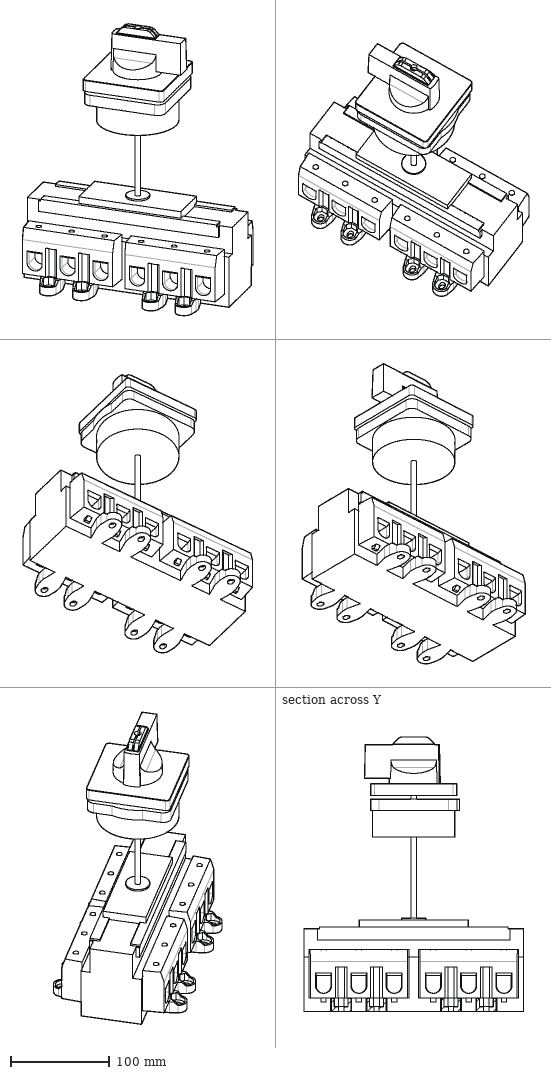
import cadquery as cq
import math

body_length = 224.0
base_half_width = 31.8
shelf_z = 55.4
neck_half_width = 22.5
neck_top_z = 84.5

strip_top_z = 86.4
strip_bottom_z = 72.8
strip_inner_y = 16.0
strip_outer_y = 26.4
strip_skirt_length = 196.4
strip_flange_length = 192.4

plate_length = 111.6
plate_top_z = 93.6
collar_diameter = 24.6
collar_top_z = 95.4
shaft_diameter = 6.0

block_center_x = body_length / 4
block_inner_length = 102.0
block_outer_length = 98.8
block_outer_y = 53.9
block_bottom_z = 13.6
block_top_z = 63.2
block_bevel_y = 50.3
block_bevel_z = 51.2
pole_pitch = 36.0
pole_offsets = (-pole_pitch, 0, pole_pitch)
gap_offsets = (-pole_pitch / 2, pole_pitch / 2)

window_depth = 20.0
window_mouth_depth = 3.8
window_half_width = 8.1
window_inner_half_width = 7.4
window_top_z = 39.4
window_inner_top_z = 36.8
window_bottom_z = 18.6
window_arc_start_z = 25.0

screw_diameter = 5.6
screw_y = 42.1
screw_depth = 10.0
wedge_width = 5.4
wedge_inner_y = 39.4
wedge_outer_y = 45.6
wedge_bottom_z = 10.0

groove_half_width = 6.0
groove_floor_half_width = 3.3
groove_depth = groove_half_width - groove_floor_half_width
groove_top_z = 45.2

foot_tip_y = 70.0
foot_radius = 9.0
foot_arc_y = foot_tip_y - foot_radius
foot_tangent_y = 62.8
foot_half_width = 10.7
foot_side_outer_y = 54.6
foot_side_inner_y = 47.3
foot_root_half_width = 7.0
foot_slope_start_y = 58.4
foot_slope_end_y = 62.6
foot_tip_z = 9.2
foot_pocket_radius = 6.9
foot_pocket_floor_z = 5.0
foot_pocket_back_y = 52.9
foot_pocket_back_half_width = 3.0
foot_slot_length = 7.8
foot_slot_width = screw_diameter
foot_slot_y = 60.0

drum_diameter = 84.22
drum_bottom_z = 178.0
flange_bottom_z = 205.0
flange_top_z = 216.8
flange_size = 87.8
flange_corner_radius = 8.4
flange_lobe_radius = 46.7
flange_lobe_width = 32.0

bezel_size = 87.8
bezel_corner_radius = 3.8
bezel_bottom_z = 220.3
bezel_top_z = 232.6
bezel_edge_chamfer = 0.5
handle_draft = 1.2
knob_radius = 25.2
knob_top_z = 256.6
scoop_inner_y = 8.2
scoop_middle_y = 10.35
scoop_middle_z = 252.2
scoop_break_y = 13.8
scoop_break_z = 248.8
scoop_outer_y = 26.0
scoop_outer_z = 242.4
handle_half_width = 8.75
handle_nose_radius = 27.3
handle_arm_reach = 50.4
handle_top_z = 272.2
arm_underside_z = 237.9
arm_root_x = 23.0

crest_top_z = 280.2
crest_foot_z = 273.1
crest_half_length = 21.4
crest_half_width = 5.4
crest_plinth_margin = 0.8
crest_shoulder_x = 15.6
crest_shoulder_z = 279.0
crest_flat_half_length = 12.2
crest_slit_width = 1.6
crest_hole_diameter = 7.0
crest_hole_depth = 5.0


def box(x0, x1, y0, y1, z0, z1):
    return cq.Workplane("XY").box(x1 - x0, y1 - y0, z1 - z0, centered=False).translate((x0, y0, z0))


def centered_box(length, half_width, z0, z1):
    return box(-length / 2, length / 2, -half_width, half_width, z0, z1)


def cylinder(diameter, z0, z1):
    return cq.Workplane("XY").workplane(offset=z0).circle(diameter / 2).extrude(z1 - z0)


def both_sides(solid):
    return solid.union(solid.mirror("XZ"))


def side_profile(points, length):
    """Prism along X, centred on X = 0, from (y, z) points."""
    return cq.Workplane("YZ").polyline(points).close().extrude(length / 2, both=True)


def make_body():
    body = centered_box(body_length, base_half_width, 0, shelf_z)
    body = body.union(centered_box(body_length, neck_half_width, 0, neck_top_z))
    half_skirt = strip_skirt_length / 2
    half_flange = strip_flange_length / 2
    skirt = box(-half_skirt, half_skirt, -strip_outer_y, -neck_half_width, strip_bottom_z, neck_top_z)
    flange = box(-half_flange, half_flange, -strip_outer_y, -strip_inner_y, neck_top_z, strip_top_z)
    body = body.union(both_sides(skirt.union(flange)))
    body = body.union(centered_box(plate_length, neck_half_width, neck_top_z, plate_top_z))
    return body.union(cylinder(collar_diameter, plate_top_z, collar_top_z))


def window_section(y, half_width, top_z):
    """U-shaped cable opening section on a plane of constant Y."""
    return (
        cq.Workplane("XZ", origin=(0, y, 0))
        .moveTo(-half_width, window_arc_start_z)
        .lineTo(-half_width, top_z)
        .lineTo(half_width, top_z)
        .lineTo(half_width, window_arc_start_z)
        .threePointArc((0, window_bottom_z), (-half_width, window_arc_start_z))
        .close()
    )


def make_window():
    throat_y = window_mouth_depth - block_outer_y
    outer = window_section(-block_outer_y, window_half_width, window_top_z)
    throat = window_section(throat_y, window_inner_half_width, window_inner_top_z)
    mouth = cq.Workplane(obj=cq.Solid.makeLoft([outer.val(), throat.val()], True))
    return mouth.union(throat.extrude(window_mouth_depth - window_depth))


def make_groove():
    floor_y = groove_depth - block_outer_y
    return (
        cq.Workplane("XY")
        .workplane(offset=block_bottom_z)
        .moveTo(-groove_half_width, -block_outer_y)
        .lineTo(-groove_floor_half_width, floor_y)
        .lineTo(groove_floor_half_width, floor_y)
        .lineTo(groove_half_width, -block_outer_y)
        .close()
        .extrude(groove_top_z - block_bottom_z)
    )


def make_block():
    """One terminal block on the -Y side, centred on X = 0."""
    block = (
        cq.Workplane("XY")
        .workplane(offset=block_bottom_z)
        .moveTo(-block_inner_length / 2, -base_half_width)
        .lineTo(-block_outer_length / 2, -block_outer_y)
        .lineTo(block_outer_length / 2, -block_outer_y)
        .lineTo(block_inner_length / 2, -base_half_width)
        .close()
        .extrude(block_top_z - block_bottom_z)
    )
    bevel = side_profile(
        [
            (-block_bevel_y, block_top_z),
            (-block_outer_y, block_bevel_z),
            (-block_outer_y, block_top_z),
        ],
        block_inner_length,
    )
    block = block.cut(bevel)
    screw_hole = cylinder(screw_diameter, block_top_z - screw_depth, block_top_z).translate((0, -screw_y, 0))
    wedge_rise = block_bottom_z - wedge_bottom_z
    wedge = side_profile(
        [
            (-wedge_inner_y, block_bottom_z),
            (-wedge_inner_y, wedge_bottom_z),
            (wedge_rise - wedge_outer_y, wedge_bottom_z),
            (-wedge_outer_y, block_bottom_z),
        ],
        wedge_width,
    )
    for x in pole_offsets:
        block = block.cut(make_window().translate((x, 0, 0)))
        block = block.cut(screw_hole.translate((x, 0, 0)))
        block = block.union(wedge.translate((x, 0, 0)))
    for x in gap_offsets:
        block = block.cut(make_groove().translate((x, 0, 0)))
        block = block.union(make_foot().translate((x, 0, 0)))
    return block


def make_foot():
    """Mounting foot on the -Y side, centred on X = 0."""
    tangent_offset = foot_tangent_y - foot_arc_y
    tangent_half_width = math.sqrt(foot_radius**2 - tangent_offset**2)
    foot = (
        cq.Workplane("XY")
        .moveTo(-foot_root_half_width, -base_half_width)
        .lineTo(-foot_half_width, -foot_side_inner_y)
        .lineTo(-foot_half_width, -foot_side_outer_y)
        .lineTo(-tangent_half_width, -foot_tangent_y)
        .threePointArc((0, -foot_tip_y), (tangent_half_width, -foot_tangent_y))
        .lineTo(foot_half_width, -foot_side_outer_y)
        .lineTo(foot_half_width, -foot_side_inner_y)
        .lineTo(foot_root_half_width, -base_half_width)
        .close()
        .extrude(block_bottom_z)
    )
    slope = side_profile(
        [
            (-foot_slope_start_y, block_bottom_z),
            (-foot_slope_end_y, foot_tip_z),
            (-foot_tip_y, foot_tip_z),
            (-foot_tip_y, block_bottom_z),
        ],
        2 * foot_half_width,
    )
    widening = foot_pocket_radius - foot_pocket_back_half_width
    pocket_side_y = foot_pocket_back_y + widening
    pocket = (
        cq.Workplane("XY")
        .workplane(offset=foot_pocket_floor_z)
        .moveTo(-foot_pocket_back_half_width, -foot_pocket_back_y)
        .lineTo(-foot_pocket_radius, -pocket_side_y)
        .lineTo(-foot_pocket_radius, -foot_arc_y)
        .threePointArc((0, -foot_arc_y - foot_pocket_radius), (foot_pocket_radius, -foot_arc_y))
        .lineTo(foot_pocket_radius, -pocket_side_y)
        .lineTo(foot_pocket_back_half_width, -foot_pocket_back_y)
        .close()
        .extrude(block_bottom_z - foot_pocket_floor_z)
    )
    slot = (
        cq.Workplane("XY")
        .center(0, -foot_slot_y)
        .slot2D(foot_slot_length, foot_slot_width, 90)
        .extrude(block_bottom_z)
    )
    return foot.cut(slope).cut(pocket).cut(slot)


def make_coupling():
    """Drum and its flange, with a round lobe in the middle of the flange's -X side."""
    height = flange_top_z - flange_bottom_z
    flange = (
        cq.Workplane("XY")
        .workplane(offset=flange_bottom_z)
        .rect(flange_size, flange_size)
        .extrude(height)
        .edges("|Z")
        .fillet(flange_corner_radius)
    )
    lobe = cylinder(2 * flange_lobe_radius, flange_bottom_z, flange_top_z).intersect(
        box(-flange_lobe_radius, 0, -flange_lobe_width / 2, flange_lobe_width / 2, flange_bottom_z, flange_top_z)
    )
    return cylinder(drum_diameter, drum_bottom_z, flange_bottom_z).union(flange).union(lobe)


def make_bezel():
    return (
        cq.Workplane("XY")
        .workplane(offset=bezel_bottom_z)
        .rect(bezel_size, bezel_size)
        .extrude(bezel_top_z - bezel_bottom_z)
        .edges("|Z")
        .fillet(bezel_corner_radius)
        .faces(">Z")
        .chamfer(bezel_edge_chamfer)
    )


def make_knob():
    """Drafted round knob with a concave scoop on both sides of the grip."""
    knob = (
        cq.Workplane("XY")
        .workplane(offset=bezel_top_z)
        .circle(knob_radius)
        .extrude(knob_top_z - bezel_top_z, taper=handle_draft)
    )
    scoop = (
        cq.Workplane("YZ")
        .moveTo(-scoop_outer_y, scoop_outer_z)
        .lineTo(-scoop_break_y, scoop_break_z)
        .threePointArc((-scoop_middle_y, scoop_middle_z), (-scoop_inner_y, knob_top_z))
        .lineTo(-scoop_outer_y, knob_top_z)
        .close()
        .extrude(knob_radius, both=True)
    )
    return knob.cut(both_sides(scoop))


def make_grip():
    """Drafted grip with a round nose on -X and an overhanging arm on +X."""
    nose_x = -math.sqrt(handle_nose_radius**2 - handle_half_width**2)
    grip = (
        cq.Workplane("XY")
        .workplane(offset=bezel_top_z)
        .moveTo(handle_arm_reach, -handle_half_width)
        .lineTo(handle_arm_reach, handle_half_width)
        .lineTo(nose_x, handle_half_width)
        .threePointArc((-handle_nose_radius, 0), (nose_x, -handle_half_width))
        .close()
        .extrude(handle_top_z - bezel_top_z, taper=handle_draft)
    )
    under_arm = box(
        arm_root_x, handle_arm_reach, -handle_half_width, handle_half_width, bezel_top_z, arm_underside_z
    )
    return grip.cut(under_arm)


def make_crest():
    """Faceted crest on a low plinth, split lengthwise by a slit with a round hole in the middle."""
    crest = (
        cq.Workplane("XZ")
        .moveTo(-crest_half_length, crest_foot_z)
        .lineTo(-crest_shoulder_x, crest_shoulder_z)
        .lineTo(-crest_flat_half_length, crest_top_z)
        .lineTo(crest_flat_half_length, crest_top_z)
        .lineTo(crest_shoulder_x, crest_shoulder_z)
        .lineTo(crest_half_length, crest_foot_z)
        .close()
        .extrude(crest_half_width, both=True)
    )
    slit_half = crest_slit_width / 2
    slit = centered_box(2 * crest_half_length, slit_half, crest_foot_z, crest_top_z)
    hole = cylinder(crest_hole_diameter, crest_top_z - crest_hole_depth, crest_top_z)
    plinth = centered_box(
        2 * crest_half_length, crest_half_width + crest_plinth_margin, handle_top_z, crest_foot_z
    )
    return crest.cut(slit).cut(hole).union(plinth)


result = make_body()
block_pair = both_sides(make_block())
for center_x in (-block_center_x, block_center_x):
    result = result.union(block_pair.translate((center_x, 0, 0)))
result = result.union(cylinder(shaft_diameter, collar_top_z, bezel_bottom_z))
for piece in (make_coupling(), make_bezel(), make_knob(), make_grip(), make_crest()):
    result = result.union(piece)